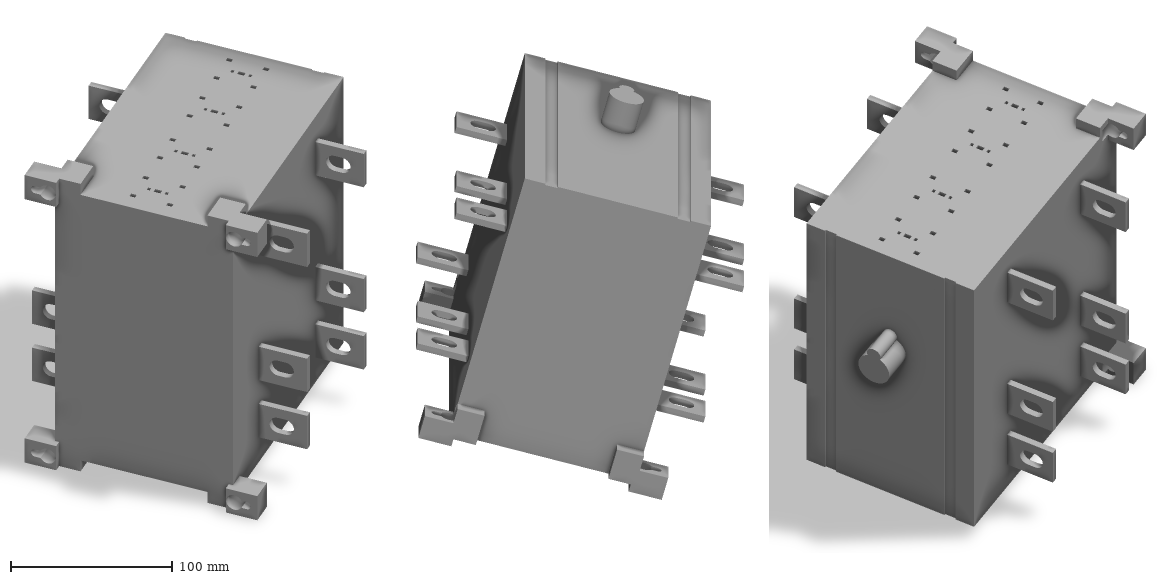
import cadquery as cq

overall_height = 221.0
overall_depth = 202.5
body_width = 119.8
body_height = 204.2
body_front = 4.9
body_depth = 177.0
body_back = body_front + body_depth

groove_width = 8.0
groove_depth = 0.9
groove_x = 42.7

foot_inner_x = 42.7
foot_back = 25.2
pad_inner_x = 57.0
pad_outer_x = 78.2
pad_thickness = 15.2
pad_height = 18.5
pad_z = overall_height / 2 - pad_height / 2
keyhole_head_x = 62.8
keyhole_head_radius = 5.5
keyhole_head_depth = 22.3
keyhole_slot_end_x = 71.2
keyhole_slot_width = 5.5

terminal_span = 185.0
terminal_height = 25.6
terminal_thickness = 4.2
terminal_centers_y = (48.0, 138.5)
terminal_centers_z = (70.0, -26.0, -70.0)
left_slot_x = -77.1
right_slot_x = 75.4
terminal_slot_length = 16.4
terminal_slot_width = 11.5

hub_radius = 11.0
hub_z = 22.3
lobe_radius = 4.9
lobe_z = 34.5

opening_depth = 8.8
opening_group_y = (27.0, 70.0, 117.5, 160.7)
corner_opening = (3.8, 2.9)
corner_offset_x = 12.4
corner_offset_y = 10.2
center_opening = (4.6, 2.9)
side_opening = (2.0, 2.5)
side_offset_x = 6.0


def block(x_range, y_range, z_range):
    """Box filling the given ranges along X, Y and Z."""
    starts, ends = zip(x_range, y_range, z_range)
    size = [end - start for start, end in zip(starts, ends)]
    return cq.Workplane("XY").box(*size, centered=False).translate(starts)


def plane_facing_back(y):
    """Workplane at depth y with local x along X, local y along Z, extruding toward +Y."""
    return cq.Workplane(cq.Plane(origin=(0, y, 0), xDir=(1, 0, 0), normal=(0, -1, 0)))


def round_bar(x, z, radius, y_start, y_end):
    """Cylinder along Y."""
    return plane_facing_back(y_start).center(x, z).circle(radius).extrude(y_start - y_end)


def make_body():
    body = block(
        (-body_width / 2, body_width / 2),
        (body_front, body_back),
        (-body_height / 2, body_height / 2),
    )
    for side in (-1, 1):
        groove = cq.Workplane("XY").box(groove_width, 2 * groove_depth, body_height)
        body = body.cut(groove.translate((side * groove_x, body_back, 0)))
    return body


def make_foot():
    """Foot at the +X, +Z corner, without its keyhole."""
    foot_top = overall_height / 2
    foot_bottom = foot_top - pad_height
    corner_block = block((foot_inner_x, body_width / 2), (body_front, foot_back), (foot_bottom, foot_top))
    pad = block((pad_inner_x, pad_outer_x), (0, pad_thickness), (foot_bottom, foot_top))
    return corner_block.union(pad)


def make_keyhole():
    """Keyhole cutter of the +X, +Z foot; its round head also bites into the body side."""
    head = round_bar(keyhole_head_x, pad_z, keyhole_head_radius, 0, keyhole_head_depth)
    neck = block(
        (keyhole_head_x, keyhole_slot_end_x),
        (0, pad_thickness),
        (pad_z - keyhole_slot_width / 2, pad_z + keyhole_slot_width / 2),
    )
    slot_end = round_bar(keyhole_slot_end_x, pad_z, keyhole_slot_width / 2, 0, pad_thickness)
    return head.union(neck).union(slot_end)


def four_corners(shape):
    """The +X, +Z shape together with its mirror images at the other three corners."""
    pair = shape.union(shape.mirror("YZ"))
    return pair.union(pair.mirror("XY"))


def make_terminal(y, z):
    bar = cq.Workplane("XY").box(terminal_span, terminal_thickness, terminal_height)
    slots = (
        cq.Workplane("XZ")
        .pushPoints([(left_slot_x, 0), (right_slot_x, 0)])
        .slot2D(terminal_slot_length, terminal_slot_width)
        .extrude(terminal_thickness, both=True)
    )
    return bar.cut(slots).translate((0, y, z))


def make_lever_shaft():
    hub = round_bar(0, hub_z, hub_radius, body_back, overall_depth)
    lobe = round_bar(0, lobe_z, lobe_radius, body_back, overall_depth)
    return hub.union(lobe)


def make_opening_group(y):
    corners = [(sx * corner_offset_x, sy * corner_offset_y) for sx in (-1, 1) for sy in (-1, 1)]
    sides = [(-side_offset_x, 0), (side_offset_x, 0)]
    top = cq.Workplane("XY", origin=(0, y, body_height / 2))
    group = top.rect(*center_opening).extrude(-opening_depth)
    group = group.union(top.pushPoints(corners).rect(*corner_opening).extrude(-opening_depth))
    return group.union(top.pushPoints(sides).rect(*side_opening).extrude(-opening_depth))


result = make_body()
result = result.union(four_corners(make_foot()))
result = result.cut(four_corners(make_keyhole()))
for terminal_y in terminal_centers_y:
    for terminal_z in terminal_centers_z:
        result = result.union(make_terminal(terminal_y, terminal_z))
result = result.union(make_lever_shaft())
for group_y in opening_group_y:
    result = result.cut(make_opening_group(group_y))